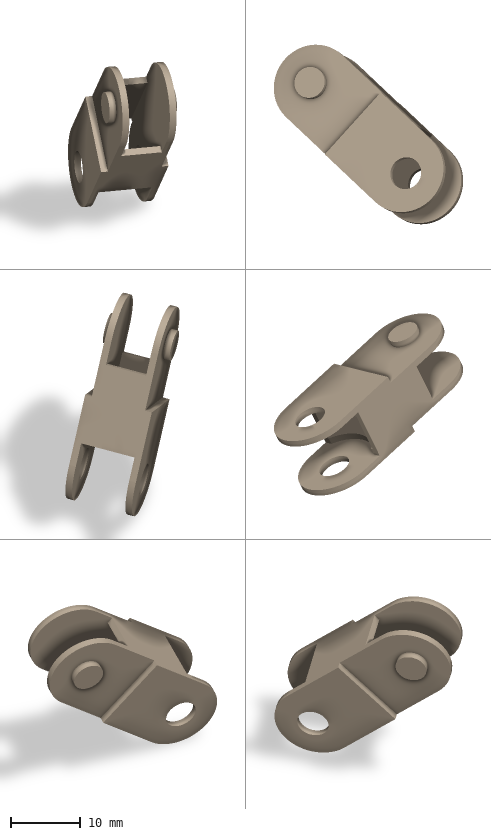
import cadquery as cq

tilt = 44.2
pitch = 20.0
link_height = 12.0
cap_spacing = 18.95
outer_width = 10.0
plate = 1.0
step_offset = 1.0
floor_distance = 4.0
relief_radius = 6.2
passage_height = 10.0
hole_diameter = 4.6
pin_diameter = 4.5

inner_width = outer_width - 2 * plate
passage_width = inner_width - 2 * plate
link_length = cap_spacing + link_height
floor_position = pitch / 2 - floor_distance


def box_along(start, end, width, height):
    """Box centred on the link axis, running from start to end along it."""
    return cq.Workplane("XY").box(end - start, width, height).translate(((start + end) / 2, 0, 0))


def cross_cylinder(position, diameter, width):
    """Cylinder along Y, centred on the link axis at the given position."""
    return cq.Workplane("XZ").center(position, 0).circle(diameter / 2).extrude(width / 2, both=True)


def rounded_bar(width):
    """Full-length bar with semicircular ends."""
    return cq.Workplane("XZ").slot2D(link_length, link_height).extrude(width / 2, both=True)


wide_half = rounded_bar(outer_width).intersect(
    box_along(-link_length, step_offset, outer_width, link_height)
)
body = wide_half.union(rounded_bar(inner_width))

body = body.cut(box_along(-link_length, -floor_position, inner_width, link_height))
body = body.cut(box_along(floor_position, link_length, passage_width, link_height))
body = body.cut(box_along(-floor_position, floor_position, passage_width, passage_height))

body = body.cut(cross_cylinder(-pitch / 2, 2 * relief_radius, inner_width))

body = body.cut(cross_cylinder(-pitch / 2, hole_diameter, outer_width))

pins = cross_cylinder(pitch / 2, pin_diameter, outer_width).cut(
    cross_cylinder(pitch / 2, pin_diameter, passage_width)
)
body = body.union(pins)

result = body.rotate((0, 0, 0), (0, 1, 0), -tilt)